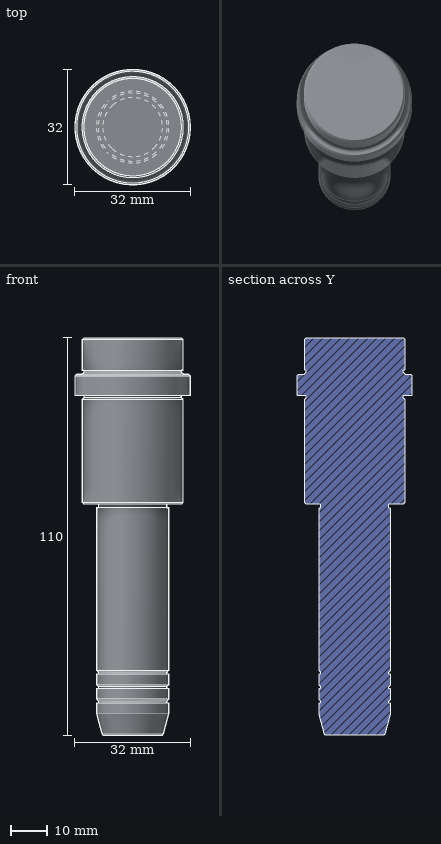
import cadquery as cq
import math

total_length = 110.0
body_radius = 14.0
flange_radius = 16.0
shaft_radius = 10.0

head_length = 10.0
flange_thickness = 6.0
body_length = 30.0

tip_length = 6.0
tip_taper_angle = 15.0
tip_chamfer_width = 0.3
tip_chamfer_height = 0.5

edge_chamfer = 0.5

groove_width = 1.0
groove_depth = 0.5

ring_count = 3
ring_pitch = 4.0
lowest_ring_bottom = 9.0

flange_top = total_length - head_length
flange_bottom = flange_top - flange_thickness
body_bottom = flange_bottom - body_length


def cylinder(radius, bottom, top):
    """Solid cylinder about the Z axis between two heights."""
    return cq.Workplane("XY").workplane(offset=bottom).circle(radius).extrude(top - bottom)


def revolve_profile(points):
    """Solid of revolution about the Z axis from (radius, height) points."""
    return cq.Workplane("XZ").polyline(points).close().revolve(360, (0, 0), (0, 1))


def square_groove(radius, bottom):
    """Cutter for a square-sided groove in a cylinder of the given radius."""
    top = bottom + groove_width
    outer = cylinder(radius + groove_depth, bottom, top)
    return outer.cut(cylinder(radius - groove_depth, bottom, top))


def sloped_groove(radius, shoulder, slope_end):
    """Cutter for a groove with a flat wall at one height and a 45 degree runout at the other."""
    floor_radius = radius - groove_depth
    direction = math.copysign(1, slope_end - shoulder)
    floor_end = slope_end - direction * groove_depth
    return revolve_profile([
        (radius + groove_depth, shoulder),
        (floor_radius, shoulder),
        (floor_radius, floor_end),
        (radius, slope_end),
        (radius + groove_depth, slope_end),
    ])


def make_head():
    """Head with a chamfered top edge and an undercut above the flange."""
    head = cylinder(body_radius, flange_top, total_length).faces(">Z").chamfer(edge_chamfer)
    return head.cut(sloped_groove(body_radius, flange_top + groove_width, flange_top))


def make_flange():
    """Locating flange with a chamfered upper edge."""
    return cylinder(flange_radius, flange_bottom, flange_top).faces(">Z").chamfer(edge_chamfer)


def make_body():
    """Fitting body with an undercut below the flange and a chamfered lower edge."""
    body = cylinder(body_radius, body_bottom, flange_bottom).faces("<Z").chamfer(edge_chamfer)
    return body.cut(sloped_groove(body_radius, flange_bottom, flange_bottom - groove_width))


def make_shaft():
    """Shaft with a tapered tip, an undercut below the body and ring grooves."""
    taper_height = tip_length - tip_chamfer_height
    taper_end_radius = shaft_radius - taper_height * math.tan(math.radians(tip_taper_angle))
    shaft = revolve_profile([
        (0, 0),
        (taper_end_radius - tip_chamfer_width, 0),
        (taper_end_radius, tip_chamfer_height),
        (shaft_radius, tip_length),
        (shaft_radius, body_bottom),
        (0, body_bottom),
    ])
    shaft = shaft.cut(square_groove(shaft_radius, body_bottom - groove_width))
    for index in range(ring_count):
        ring_bottom = lowest_ring_bottom + index * ring_pitch
        shaft = shaft.cut(sloped_groove(shaft_radius, ring_bottom, ring_bottom + groove_width))
    return shaft


result = make_shaft().union(make_body()).union(make_flange()).union(make_head())